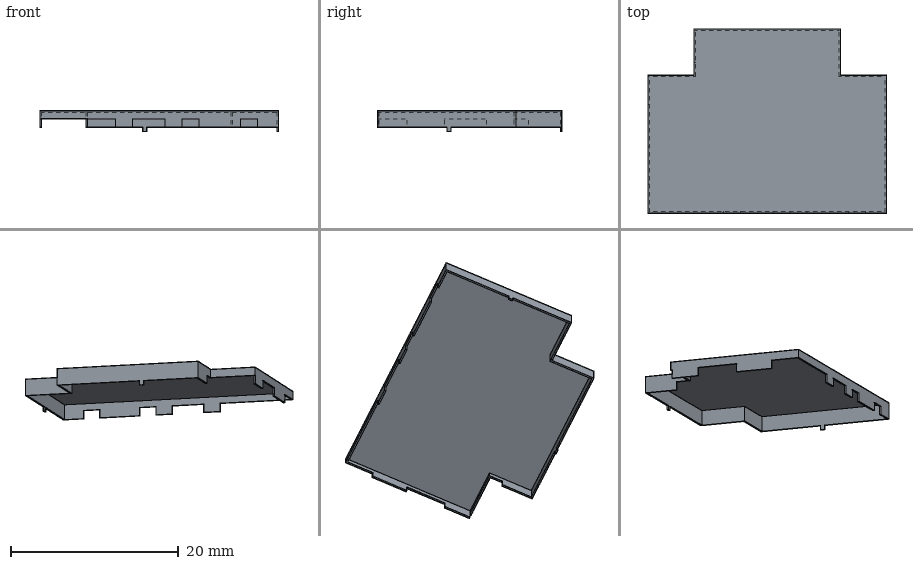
import cadquery as cq

length = 28.5
depth = 22.0
total_height = 2.5
sheet = 0.2
pin_length = 0.5
pin_width = 0.5
skirt_height = total_height - pin_length
window_height = 1.0

shoulder_y = 16.5
step_x = 5.5

front_windows = [(0.0, 9.03), (11.03, 14.95), (17.0, 18.98), (23.95, 25.95)]
left_windows = [(0.0, 3.5), (7.98, 13.0)]

shoulder_window_end_y = 18.0

rear_pin_x = 12.5
right_pin_y = 8.52


def block(x0, x1, y0, y1, z0, z1):
    """Box spanning the given limits."""
    return cq.Workplane("XY").box(x1 - x0, y1 - y0, z1 - z0, centered=False).translate((x0, y0, z0))


def window(x0, x1, y0, y1):
    """Cutter for an opening rising from the skirt's lower edge."""
    return block(x0, x1, y0, y1, 0, window_height)


outline = [
    (0, 0),
    (length, 0),
    (length, shoulder_y),
    (length - step_x, shoulder_y),
    (length - step_x, depth),
    (step_x, depth),
    (step_x, shoulder_y),
    (0, shoulder_y),
]
outer = cq.Workplane("XY").polyline(outline).close().extrude(skirt_height)
cavity = (
    cq.Workplane("XY")
    .polyline(outline)
    .close()
    .offset2D(-sheet, kind="intersection")
    .extrude(skirt_height - sheet)
)
result = outer.cut(cavity)

for start, end in front_windows:
    result = result.cut(window(start, end, 0, sheet))
for start, end in left_windows:
    result = result.cut(window(0, sheet, start, end))

result = result.cut(window(0, step_x + sheet, shoulder_y - sheet, shoulder_y))
result = result.cut(window(step_x, step_x + sheet, shoulder_y - sheet, shoulder_window_end_y))

half_pin = pin_width / 2
rear_pin = block(
    rear_pin_x - half_pin, rear_pin_x + half_pin, depth - sheet, depth, -pin_length, window_height
)
right_pin = block(
    length - sheet, length, right_pin_y - half_pin, right_pin_y + half_pin, -pin_length, window_height
)
result = result.union(rear_pin).union(right_pin)